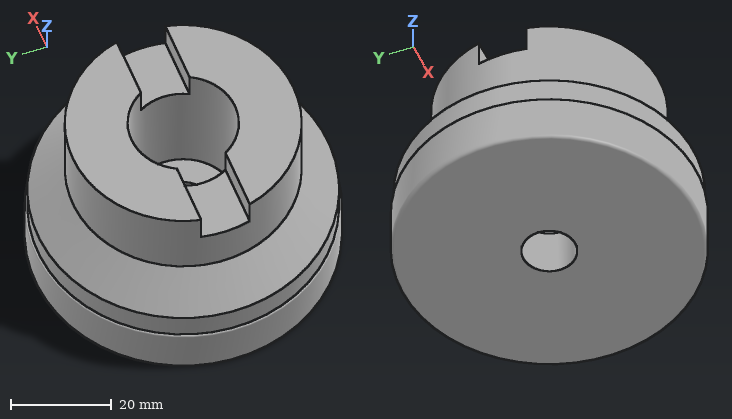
import cadquery as cq

base_radius = 31.5
base_height = 10.85
base_edge_fillet = 0.75
top_edge_fillet = 0.4
through_hole_radius = 5.55

total_height = 40.0
skirt_radius = 30.9
skirt_top = 16.6
neck_radius = 23.5
neck_bottom = 23.95
bore_radius = 11.0

slot_width = 10.3
slot_depth = 6.0


def make_base():
    """Round disc with softened rims and a central through hole."""
    disc = cq.Workplane("XY").circle(base_radius).extrude(base_height)
    disc = disc.faces("<Z").edges().fillet(base_edge_fillet)
    disc = disc.faces(">Z").edges().fillet(top_edge_fillet)
    hole = cq.Workplane("XY").circle(through_hole_radius).extrude(base_height)
    return disc.cut(hole)


def make_housing():
    """Revolved skirt, cone and neck with a central bore and a slotted top."""
    profile = [
        (bore_radius, base_height),
        (skirt_radius, base_height),
        (skirt_radius, skirt_top),
        (neck_radius, neck_bottom),
        (neck_radius, total_height),
        (bore_radius, total_height),
    ]
    body = cq.Workplane("XZ").polyline(profile).close().revolve(360, (0, 0, 0), (0, 1, 0))
    slot = (
        cq.Workplane("XY")
        .workplane(offset=total_height - slot_depth)
        .rect(2 * base_radius, slot_width)
        .extrude(slot_depth)
    )
    return body.cut(slot)


base = make_base()
housing = make_housing()
result = cq.Compound.makeCompound([base.val(), housing.val()])